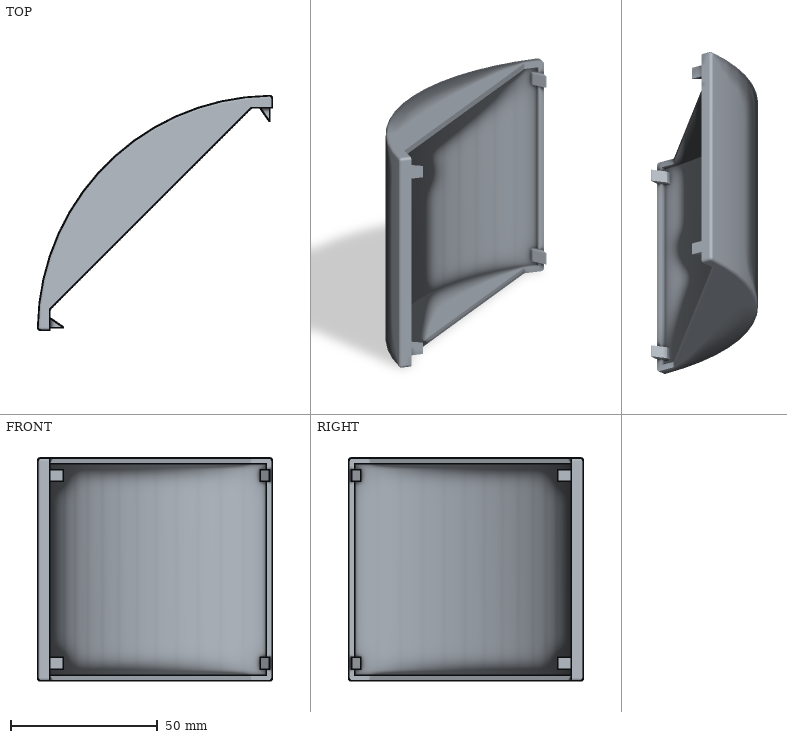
import cadquery as cq
import math

outer_radius = 80.0
height = 76.0
wall = 2.0
edge_depth = 4.2
edge_length = 7.2
corner_radius = 1.0
outer_fillet = 1.0

hook_width = 4.0
hook_setback = 0.8
hook_base = 3.4
hook_tip = 0.3
hook_reach = 4.5
hook_offset = 32.0

inner_radius = outer_radius - wall
land = outer_radius - edge_depth


def arc_middle(radius):
    """Midpoint of the quarter arc between the -X and +Y directions."""
    return (-radius * math.sqrt(0.5), radius * math.sqrt(0.5))


def make_body():
    """Solid segment between the arc and the chord, rounded outside."""
    body = (
        cq.Workplane("XY")
        .workplane(offset=-height / 2)
        .moveTo(-outer_radius, 0)
        .threePointArc(arc_middle(outer_radius), (0, outer_radius))
        .lineTo(0, land)
        .lineTo(-edge_length, land)
        .lineTo(-land, edge_length)
        .lineTo(-land, 0)
        .close()
        .extrude(height)
    )
    chord_corners = cq.selectors.BoxSelector(
        (-land - corner_radius, edge_length - corner_radius, -height),
        (-edge_length + corner_radius, land + corner_radius, height),
    )
    body = body.edges("|Z").edges(chord_corners).fillet(corner_radius)
    outer_edges = (
        body.edges(cq.selectors.RadiusNthSelector(-1))
        .add(body.edges("|Z").edges("<X or >Y"))
        .add(body.faces("<Y or >X").edges("#Z"))
    )
    return outer_edges.fillet(outer_fillet)


def make_pocket():
    """Hollow behind the shell, closed by the end plates and edge flanges."""
    end = math.sqrt(inner_radius**2 - wall**2)
    return (
        cq.Workplane("XY")
        .workplane(offset=-height / 2 + wall)
        .moveTo(-end, wall)
        .threePointArc(arc_middle(inner_radius), (-wall, end))
        .lineTo(-wall, wall)
        .close()
        .extrude(height - 2 * wall)
    )


def make_hook(z):
    """Wedge-shaped hook on the +Y edge, rooted in the shell."""
    back = -hook_setback
    front = back - hook_base
    root = inner_radius + wall / 4
    return (
        cq.Workplane("XY")
        .workplane(offset=z - hook_width / 2)
        .moveTo(back, root)
        .lineTo(back, land - hook_reach)
        .lineTo(back - hook_tip, land - hook_reach)
        .lineTo(front, land)
        .lineTo(front, root)
        .close()
        .extrude(hook_width)
    )


def mirror_to_other_edge(shape):
    """Reflect across the diagonal plane that swaps the two straight edges."""
    return shape.mirror("YZ").rotate((0, 0, 0), (0, 0, 1), 90)


result = make_body().cut(make_pocket())
for hook_z in (-hook_offset, hook_offset):
    hook = make_hook(hook_z)
    result = result.union(hook).union(mirror_to_other_edge(hook))